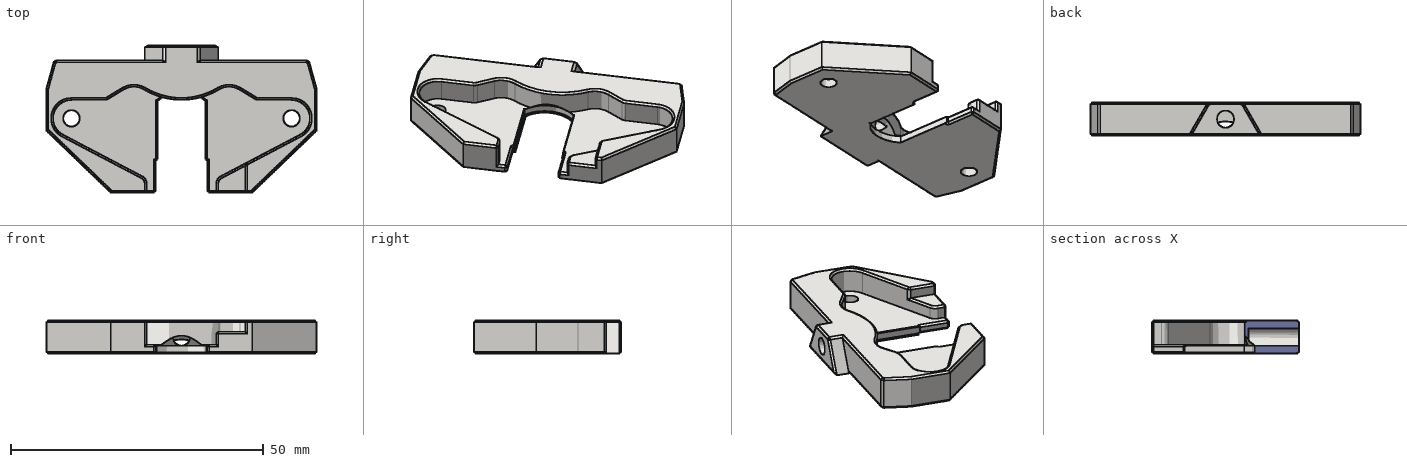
import cadquery as cq
import math

height = 6.6
half_length = 26.8
back_y = 26.25
shoulder_half = 25.25
shoulder_y = 20.6
side_front_y = 12.3
foot_half = 14.0
edge_chamfer = 0.4

floor_z = 1.75
ear_x = 21.8
ear_y = 14.75
ear_radius = 3.65
hole_diameter = 3.2
mouth_half = 6.9
mouth_angle = math.radians(27.7)
mouth_fillet = 1.5
wave_angle = math.radians(31)
wave_fillet = 1.6
crest_x = 9.45
crest_y = 21.0
crest_radius = 4.0

step_x = 12.6
step_z = 4.4

front_slot_half = 5.15
front_slot_length = 6.25
front_slot_taper = 0.5
slot_half = 4.95
slot_lip = 0.24
slot_flare = 0.15
slot_arc_radius = 6.95
slot_arc_y = 13.4

tongue_back_y = 29.2
tongue_top_half = 3.5
tongue_angle = math.radians(30)
bore_diameter = 3.4
bore_depth = 10.0

front_slot_end_y = front_slot_length + front_slot_taper


def mirrored(points):
    """Closed outline symmetric about X = 0, from the points of its +X half."""
    return points + [(-x, y) for x, y in reversed(points)]


def make_plate():
    outline = mirrored(
        [
            (foot_half, 0),
            (half_length, side_front_y),
            (half_length, shoulder_y),
            (shoulder_half, back_y),
        ]
    )
    plate = cq.Workplane("XY").polyline(outline).close().extrude(height)
    return plate.edges("|Z").edges(">Y").chamfer(edge_chamfer)


def fillet_upright_edges(body, x, y, radius):
    """Round the two vertical edges standing at (x, y) and (-x, y)."""
    reach = 0.05
    for side_x in (-x, x):
        near = cq.selectors.BoxSelector(
            (side_x - reach, y - reach, 0), (side_x + reach, y + reach, 2 * height)
        )
        body = body.edges("|Z").edges(near).fillet(radius)
    return body


def make_pocket():
    """Wavy pocket, open to the front between the feet."""
    flank_y = crest_y - crest_radius * (1 - math.cos(wave_angle))
    crest_half = crest_radius * math.sin(wave_angle)
    inner_x = crest_x - crest_half
    outer_x = crest_x + crest_half
    bulge_y = flank_y - inner_x * math.tan(wave_angle / 2)
    ear_top_y = ear_y + ear_radius
    wave_foot_x = outer_x + (flank_y - ear_top_y) / math.tan(wave_angle)

    tangent_x = ear_x + ear_radius * math.sin(mouth_angle)
    tangent_y = ear_y - ear_radius * math.cos(mouth_angle)
    corner_y = tangent_y - (tangent_x - mouth_half) * math.tan(mouth_angle)
    ear_side_x = ear_x + ear_radius

    pocket = (
        cq.Workplane("XY", origin=(0, 0, floor_z))
        .moveTo(-mouth_half, 0)
        .lineTo(mouth_half, 0)
        .lineTo(mouth_half, corner_y)
        .lineTo(tangent_x, tangent_y)
        .threePointArc((ear_side_x, ear_y), (ear_x, ear_top_y))
        .lineTo(wave_foot_x, ear_top_y)
        .lineTo(outer_x, flank_y)
        .threePointArc((crest_x, crest_y), (inner_x, flank_y))
        .threePointArc((0, bulge_y), (-inner_x, flank_y))
        .threePointArc((-crest_x, crest_y), (-outer_x, flank_y))
        .lineTo(-wave_foot_x, ear_top_y)
        .lineTo(-ear_x, ear_top_y)
        .threePointArc((-ear_side_x, ear_y), (-tangent_x, tangent_y))
        .lineTo(-mouth_half, corner_y)
        .close()
        .extrude(height - floor_z)
    )
    pocket = fillet_upright_edges(pocket, mouth_half, corner_y, mouth_fillet)
    return fillet_upright_edges(pocket, wave_foot_x, ear_top_y, wave_fillet)


def make_step():
    """Space above the lowered part of the +X foot."""
    step_size = (step_x, side_front_y, height - step_z)
    return cq.Workplane("XY", origin=(0, 0, step_z)).box(*step_size, centered=False)


def make_front_slot():
    """Slot between the feet, narrowing at 45 degrees to meet the slot behind it."""
    outline = mirrored(
        [
            (front_slot_half, 0),
            (front_slot_half, front_slot_length),
            (front_slot_half - front_slot_taper, front_slot_end_y),
        ]
    )
    return cq.Workplane("XY").polyline(outline).close().extrude(height)


def make_arched_slot():
    """Slot behind the feet, with an arched end under a 45 degree conical roof."""
    roof_z = floor_z - slot_flare
    arc_start_y = slot_arc_y + math.sqrt(slot_arc_radius**2 - slot_half**2)
    slot = (
        cq.Workplane("XY")
        .moveTo(-slot_half, 0)
        .lineTo(slot_half, 0)
        .lineTo(slot_half, arc_start_y)
        .threePointArc((0, slot_arc_y + slot_arc_radius), (-slot_half, arc_start_y))
        .close()
        .extrude(roof_z)
        .faces("<Z")
        .chamfer(slot_lip)
    )
    flare = (
        cq.Workplane("XZ")
        .polyline(mirrored([(slot_half, roof_z), (slot_half + slot_flare, floor_z)]))
        .close()
        .extrude(-arc_start_y)
    )
    cone = cq.Solid.makeCone(
        slot_arc_radius, 0, slot_arc_radius, pnt=cq.Vector(0, slot_arc_y, roof_z)
    )
    roof_limit = (
        cq.Workplane("XY")
        .rect(2 * slot_half, 2 * tongue_back_y)
        .extrude(height - edge_chamfer)
    )
    return slot.union(flare).union(roof_limit.intersect(cq.Workplane(cone)))


def is_chamfered(edge):
    """True for the outward corners of the carved plate that get the common chamfer."""
    tolerance = 0.005
    x, y, z = edge.Center().toTuple()
    on_top = z > height - tolerance
    on_bottom = z < tolerance and abs(y - front_slot_end_y) > tolerance
    on_front = y < tolerance and abs(abs(x) - foot_half) > tolerance
    on_step = abs(z - step_z) < tolerance and abs(x - step_x) > tolerance
    on_step_wall = abs(x - step_x) < tolerance and z > step_z + tolerance
    on_front_slot_rim = (
        abs(z - floor_z) < tolerance
        and abs(x) < front_slot_half + tolerance
        and y < front_slot_end_y - tolerance
    )
    return on_top or on_bottom or on_front or on_step or on_step_wall or on_front_slot_rim


def make_tongue():
    """Dovetail tongue, widening downward and reaching into the plate."""
    base_half = tongue_top_half + height * math.tan(tongue_angle)
    root_y = back_y - 2 * edge_chamfer
    return (
        cq.Workplane("XZ", origin=(0, tongue_back_y, 0))
        .polyline(mirrored([(base_half, 0), (tongue_top_half, height)]))
        .close()
        .extrude(tongue_back_y - root_y)
        .faces(">Y or >Z")
        .edges("not <Y")
        .chamfer(edge_chamfer)
    )


def make_bore():
    """Blind bore from the back of the tongue, breaking into the conical roof."""
    return (
        cq.Workplane("XZ", origin=(0, tongue_back_y, height / 2))
        .circle(bore_diameter / 2)
        .extrude(bore_depth)
    )


def make_holes():
    return (
        cq.Workplane("XY")
        .pushPoints([(-ear_x, ear_y), (ear_x, ear_y)])
        .circle(hole_diameter / 2)
        .extrude(height)
    )


carved = make_plate().cut(make_pocket()).cut(make_step()).cut(make_front_slot())
chamfered_edges = [edge for edge in carved.edges().vals() if is_chamfered(edge)]
body = carved.newObject(chamfered_edges).chamfer(edge_chamfer)

body = body.cut(make_arched_slot()).union(make_tongue())
result = body.cut(make_bore()).cut(make_holes())